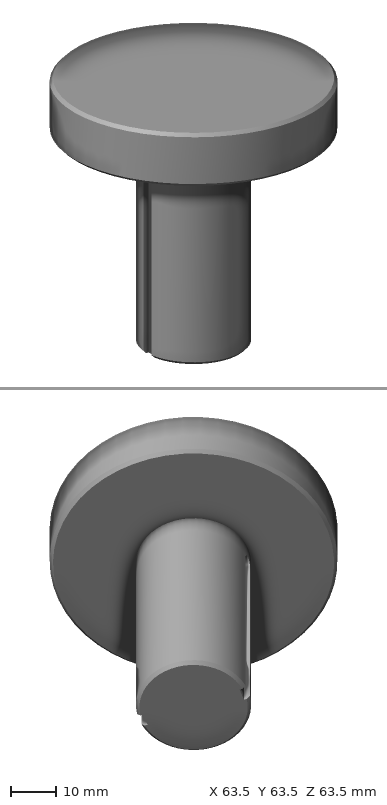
import cadquery as cq

head_diameter = 63.5
head_thickness = 12.7
shank_diameter = 25.4
total_height = 63.5
edge_chamfer = 0.75
groove_width = 3.0
groove_depth = 1.5
groove_gap_below_head = 3.0

head_radius = head_diameter / 2
shank_radius = shank_diameter / 2
shank_length = total_height - head_thickness
groove_top = shank_length - groove_gap_below_head
groove_end_radius = groove_width / 2
groove_floor = shank_radius - groove_depth


def make_head():
    """Flat disc with both rims chamfered."""
    disc = (
        cq.Workplane("XY")
        .workplane(offset=shank_length)
        .circle(head_radius)
        .extrude(head_thickness)
    )
    return disc.edges().chamfer(edge_chamfer)


def make_shank():
    """Round stem with its free end chamfered."""
    stem = cq.Workplane("XY").circle(shank_radius).extrude(shank_length)
    return stem.faces("<Z").edges().chamfer(edge_chamfer)


def groove_cutter():
    """Groove on the -Y side, open at the free end and rounded at the top."""
    arc_start = groove_top - groove_end_radius
    return (
        cq.Workplane("XZ", origin=(0, -groove_floor, 0))
        .moveTo(-groove_end_radius, 0)
        .lineTo(-groove_end_radius, arc_start)
        .threePointArc((0, groove_top), (groove_end_radius, arc_start))
        .lineTo(groove_end_radius, 0)
        .close()
        .extrude(groove_depth)
    )


result = make_head().union(make_shank())

for angle in (0, 180):
    result = result.cut(groove_cutter().rotate((0, 0, 0), (0, 0, 1), angle))